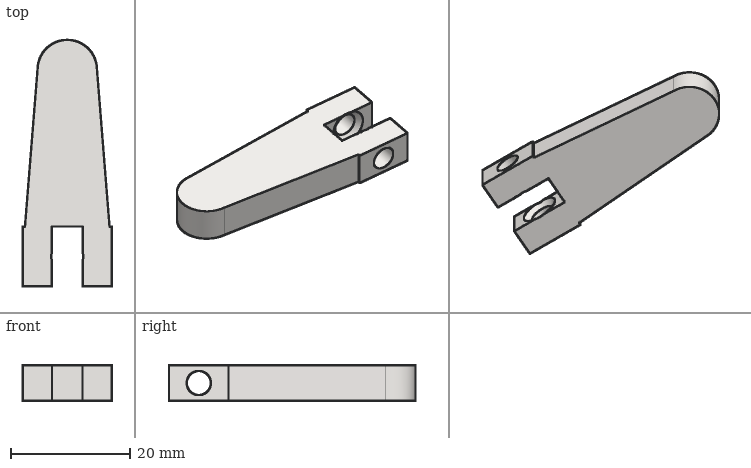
import cadquery as cq
import math

length = 41.4
thickness = 6.0
fork_width = 15.0
fork_length = 10.0

tip_radius = 5.0
arm_root_width = 14.25

slot_width = 5.15
hole_diameter = 4.0
ball_radius = 4.0

fork_end_y = -fork_length / 2
fork_root_y = fork_length / 2
tip_end_y = fork_end_y + length
tip_center_y = tip_end_y - tip_radius


def make_arm():
    """Plate that narrows from the fork to the rounded tip."""
    return (
        cq.Workplane("XY")
        .workplane(offset=-thickness / 2)
        .moveTo(-arm_root_width / 2, fork_root_y)
        .lineTo(arm_root_width / 2, fork_root_y)
        .lineTo(tip_radius, tip_center_y)
        .threePointArc((0, tip_end_y), (-tip_radius, tip_center_y))
        .close()
        .extrude(thickness)
    )


def make_fork():
    """Two prongs; the slot, as long as the prongs, is left open by building each separately."""
    prong_width = (fork_width - slot_width) / 2
    prong_center_x = (fork_width - prong_width) / 2
    prongs = cq.Workplane("XY").pushPoints([(-prong_center_x, 0), (prong_center_x, 0)])
    return prongs.box(prong_width, fork_length, thickness)


def make_hinge_cutter():
    """Pin along X with a ball at its middle; the ball, wider than the slot, dishes each prong."""
    hole_radius = hole_diameter / 2
    pin_end_x = fork_width / 2
    ball_edge_x = math.sqrt(ball_radius**2 - hole_radius**2)
    return (
        cq.Workplane("XY")
        .moveTo(-pin_end_x, 0)
        .lineTo(-pin_end_x, hole_radius)
        .lineTo(-ball_edge_x, hole_radius)
        .threePointArc((0, ball_radius), (ball_edge_x, hole_radius))
        .lineTo(pin_end_x, hole_radius)
        .lineTo(pin_end_x, 0)
        .close()
        .revolve(360, (0, 0, 0), (1, 0, 0))
    )


result = make_arm().union(make_fork()).cut(make_hinge_cutter())